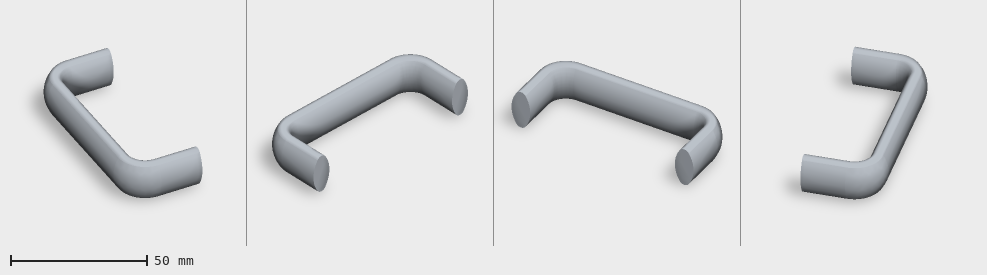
import cadquery as cq
import math

length = 77.95
depth = 30.0
height = 16.0

thickness = 8.0
edge_radius = 2.3

outer_bend_radius = 13.0
bend_radius = outer_bend_radius - thickness / 2

edge_center = height / 2 - edge_radius
half_thickness = thickness / 2
face_radius = (edge_center**2 + half_thickness**2 - edge_radius**2) / (2 * (half_thickness - edge_radius))
face_center = face_radius - half_thickness
tangent_angle = math.atan2(edge_center, face_center)
tangent_x = face_radius * math.cos(tangent_angle) - face_center
tangent_z = face_radius * math.sin(tangent_angle)

leg_x = length / 2 - half_thickness
grip_y = -depth / 2 + half_thickness
leg_end_y = depth / 2
bend_y = grip_y + bend_radius
bend_x = leg_x - bend_radius
bend_mid_offset = bend_radius * math.sqrt(0.5)


def bar_section():
    """Oval section in the plane of the left leg's end."""
    return (
        cq.Workplane(cq.Plane(origin=(-leg_x, leg_end_y, 0), xDir=(1, 0, 0), normal=(0, -1, 0)))
        .moveTo(tangent_x, -tangent_z)
        .threePointArc((half_thickness, 0), (tangent_x, tangent_z))
        .threePointArc((0, height / 2), (-tangent_x, tangent_z))
        .threePointArc((-half_thickness, 0), (-tangent_x, -tangent_z))
        .threePointArc((0, -height / 2), (tangent_x, -tangent_z))
        .close()
    )


def centreline():
    """U-shaped path: leg, bend, grip, bend, leg."""
    return (
        cq.Workplane("XY")
        .moveTo(-leg_x, leg_end_y)
        .lineTo(-leg_x, bend_y)
        .threePointArc((-bend_x - bend_mid_offset, bend_y - bend_mid_offset), (-bend_x, grip_y))
        .lineTo(bend_x, grip_y)
        .threePointArc((bend_x + bend_mid_offset, bend_y - bend_mid_offset), (leg_x, bend_y))
        .lineTo(leg_x, leg_end_y)
    )


result = bar_section().sweep(centreline())